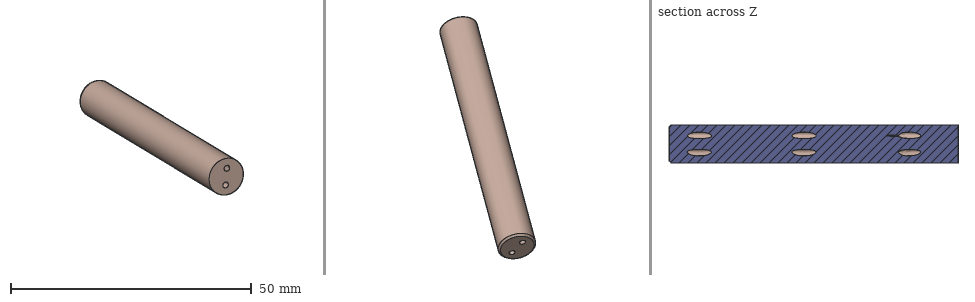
import cadquery as cq
import math

rod_length = 60.0
rod_diameter = 8.0
chamfer_size = 0.4

channel_diameter = 1.25
channel_circle_radius = 1.8
channel_start_angle = 128.0
helix_angle = 30.0
channel_count = 2
end_overrun = 1.2

helix_pitch = math.pi * rod_diameter / math.tan(math.radians(helix_angle))


def make_rod():
    """Solid rod with its chamfered end at X = 0."""
    rod = cq.Workplane("YZ").circle(rod_diameter / 2).extrude(rod_length)
    return rod.faces("<X").chamfer(chamfer_size)


def make_channel(angle):
    """Round channel running the full rod length along a helix around X."""
    path = cq.Wire.makeHelix(
        helix_pitch,
        rod_length + 2 * end_overrun,
        channel_circle_radius,
        dir=cq.Vector(0, 0, 1),
    )
    channel = (
        cq.Workplane("XY")
        .center(channel_circle_radius, 0)
        .circle(channel_diameter / 2)
        .sweep(cq.Workplane(path), isFrenet=True)
    )
    along_x = channel.rotate((0, 0, 0), (1, 1, 1), 120).translate((-end_overrun, 0, 0))
    overrun_twist = 360 * end_overrun / helix_pitch
    return along_x.rotate((0, 0, 0), (1, 0, 0), angle - overrun_twist)


result = make_rod()
for index in range(channel_count):
    result = result.cut(make_channel(channel_start_angle + index * 360 / channel_count))